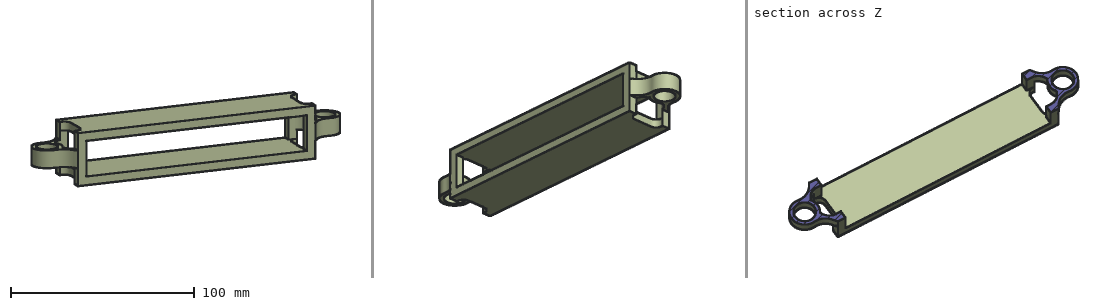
import cadquery as cq
import math

frame_width = 30.0
frame_length = 141.0
frame_height = 30.0
wall = 5.0

overall_length = 182.0
lug_thickness = 10.0
eye_radius = 8.5
eye_hole_diameter = 12.0
eye_y = overall_length / 2 - eye_radius

flare_radius = 9.5
flare_start_angle = math.radians(7.5)

opening_floor_half = 6.0
opening_corner_radius = 4.0
opening_shoulder_half = 4.8
shoulder_arc_radius = 7.5

end_y = frame_length / 2
inner_end_y = end_y - wall


def make_frame():
    outer = cq.Workplane("XY").box(frame_width, frame_length, frame_height)
    window = cq.Workplane("XY").box(
        frame_width, frame_length - 2 * wall, frame_height - 2 * wall
    )
    return outer.cut(window)


def make_lug():
    """Eye and flared foot at the +Y end, rooted in the end wall."""
    corner_x = frame_width / 2

    start_x = eye_radius * math.cos(flare_start_angle)
    start_y = eye_y - eye_radius * math.sin(flare_start_angle)
    center_distance = eye_radius + flare_radius
    center_x = center_distance * math.cos(flare_start_angle)
    center_y = eye_y - center_distance * math.sin(flare_start_angle)

    to_center_x = center_x - corner_x
    to_center_y = center_y - end_y
    corner_distance = math.hypot(to_center_x, to_center_y)
    slope_length = math.sqrt(corner_distance**2 - flare_radius**2)
    slope_direction = math.atan2(to_center_y, to_center_x) + math.asin(flare_radius / corner_distance)
    foot_x = corner_x + slope_length * math.cos(slope_direction)
    foot_y = end_y + slope_length * math.sin(slope_direction)

    return (
        cq.Workplane("XY")
        .workplane(offset=-lug_thickness / 2)
        .moveTo(-corner_x, inner_end_y)
        .lineTo(corner_x, inner_end_y)
        .lineTo(corner_x, end_y)
        .lineTo(foot_x, foot_y)
        .radiusArc((start_x, start_y), flare_radius)
        .threePointArc((0, eye_y + eye_radius), (-start_x, start_y))
        .radiusArc((-foot_x, foot_y), flare_radius)
        .lineTo(-corner_x, end_y)
        .close()
        .extrude(lug_thickness)
    )


def make_opening():
    """Cutter for the opening at the +Y end, as tall as the frame."""
    side_x = opening_floor_half + opening_corner_radius
    side_y = inner_end_y + opening_corner_radius
    shoulder_y = eye_y - math.sqrt(eye_radius**2 - opening_shoulder_half**2)
    return (
        cq.Workplane("XY")
        .workplane(offset=-frame_height / 2)
        .moveTo(-opening_floor_half, inner_end_y)
        .lineTo(opening_floor_half, inner_end_y)
        .radiusArc((side_x, side_y), -opening_corner_radius)
        .radiusArc((opening_shoulder_half, shoulder_y), -shoulder_arc_radius)
        .threePointArc((0, eye_y - eye_radius), (-opening_shoulder_half, shoulder_y))
        .radiusArc((-side_x, side_y), -shoulder_arc_radius)
        .radiusArc((-opening_floor_half, inner_end_y), -opening_corner_radius)
        .close()
        .extrude(frame_height)
    )


def make_wall_relief():
    """Cutter that clears the end wall between the plates, behind the opening corners."""
    relief_width = 2 * (opening_floor_half + opening_corner_radius)
    return (
        cq.Workplane("XY")
        .box(relief_width, opening_corner_radius, frame_height - 2 * wall)
        .translate((0, inner_end_y + opening_corner_radius / 2, 0))
    )


def make_eye_hole():
    return (
        cq.Workplane("XY")
        .workplane(offset=-lug_thickness / 2)
        .center(0, eye_y)
        .circle(eye_hole_diameter / 2)
        .extrude(lug_thickness)
    )


result = make_frame()
for turn in (0, 180):
    axis = ((0, 0, 0), (0, 0, 1), turn)
    result = result.union(make_lug().rotate(*axis))
    result = result.cut(make_opening().rotate(*axis))
    result = result.cut(make_wall_relief().rotate(*axis))
    result = result.cut(make_eye_hole().rotate(*axis))